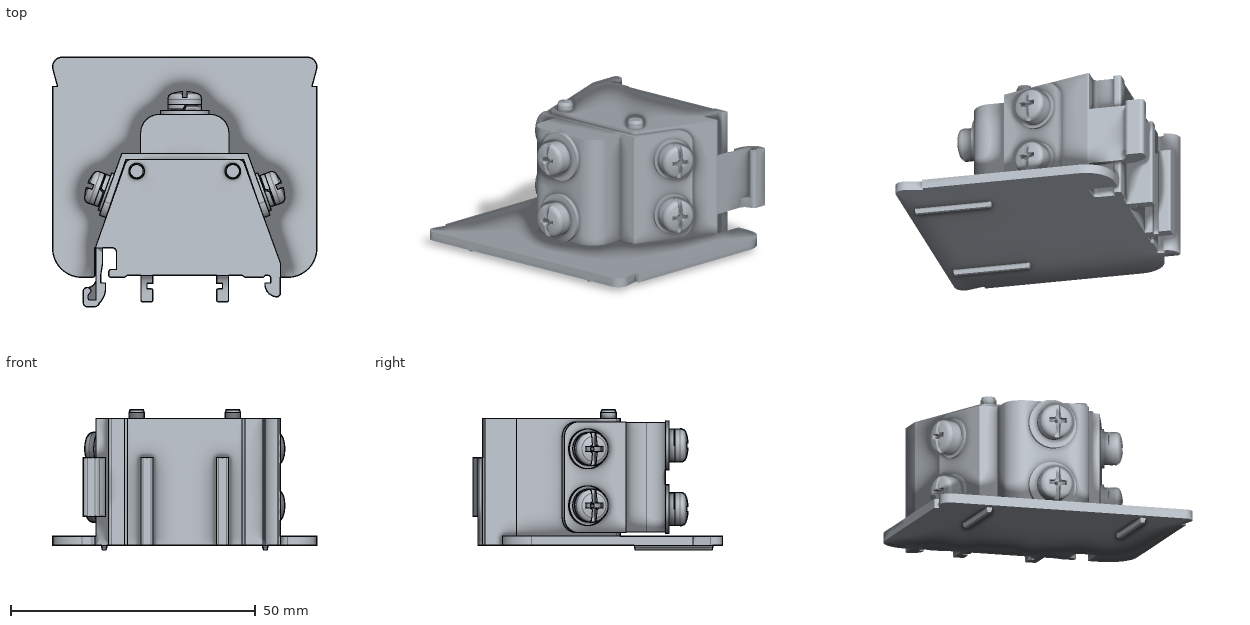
import cadquery as cq
import math


PLATE_WIDTH = 54.0
PLATE_DEPTH = 45.0
PLATE_THICKNESS = 1.9
FRONT_CORNER_R = 6.0
BACK_CORNER_R = 2.0
EAR_ANGLE = math.radians(15)
EAR_NOTCH_Y = 39.0
RUNNER_X = 16.45
RUNNER_WIDTH = 1.05
RUNNER_LENGTH = 16.0
RUNNER_BACK_Y = 43.0
RUNNER_HEIGHT = 1.0
RUNNER_TAPER = 0.15
RUNNER_TAPER_HEIGHT = 0.6

HOUSING_HEIGHT = 24.0
HOUSING_TOP = PLATE_THICKNESS + HOUSING_HEIGHT
HOUSING_MID_Z = PLATE_THICKNESS + HOUSING_HEIGHT / 2
HOUSING_BACK_Y = 24.1
SIDE_SLOPE = math.tan(math.radians(20))
HOUSING_RIGHT_X = 19.55
RIGHT_WALL_TOP_Y = 2.9
HOUSING_LEFT_X = -18.15
LEFT_WALL_TOP_Y = 6.35
HOUSING_BACK_CORNER_R = 1.2
NOTCH_BACK_Y = 6.05
NOTCH_RIGHT_X = -13.95
NOTCH_CORNER_R = 0.9
PLATE_NOTCH_GAP = 0.2
LIP_LEFT_X = -15.55
LIP_HEIGHT = 1.65
LIP_CORNER_R = 0.55
FRONT_RECESS_DEPTH = 0.4
RECESS_HALF_WIDTH = 11.7
RECESS_MOUTH_HALF_WIDTH = 12.3
LEG_BOTTOM_Y = -4.0
LEG_INNER_X = 17.55
LEG_CATCH_X = 16.35
LEG_CATCH_TOP_Y = -1.1
LEG_CATCH_R = 2.65
LEG_TOE_CHAMFER = 0.5

PIN_X = 9.82
PIN_Y = 21.7
PIN_DIAMETER = 3.2
PIN_HEIGHT = 1.8
PIN_TAPER = 0.25
PIN_TAPER_HEIGHT = 0.6

POST_TOP = 17.9
POST_OUTER_X = 8.95
POST_WIDTH = 2.45
POST_TIP_Y = -5.0
POST_GROOVE_DEPTH = 1.2
POST_GROOVE_Y = -2.3
POST_GROOVE_WIDTH = 1.1
POST_CORNER_R = 0.4
CLIP_HEIGHT = 12.0
CLIP_BOTTOM = POST_TOP - CLIP_HEIGHT
CLIP_TIP_Y = -6.0
CLIP_ROOT_THICKNESS = 1.4
CLIP_NECK_THICKNESS = 1.0
HOOK_WALL = 1.0
HOOK_LEFT_X = -20.75
HOOK_FLOOR_Y = -4.6
HOOK_TIP_R = 0.8
HOOK_TIP_Y = -2.85
HOOK_CORNER_R = 0.9
CATCH_RIGHT_X = -16.15
CATCH_R = 4.2
GUSSET_HEIGHT = 2.0

BRACKET_HEIGHT = 22.6
BRACKET_BACK_Y = 25.3
BRACKET_OUTER_X = 12.85
BRACKET_INNER_X = 12.02
BRACKET_LEG_LENGTH = 13.4
BRACKET_END_WIDTH = 1.4
BRACKET_CORNER_R = 3.0
BLOCK_WIDTH = 18.0
BLOCK_BACK_Y = 33.3
BLOCK_CORNER_R = 3.8
BLOCK_HEIGHT = 22.4

REAR_SCREW_PITCH = 13.0
REAR_WASHER_DIAMETER = 10.0
REAR_WASHER_THICKNESS = 0.8
SIDE_SCREW_PITCH = 11.6
SIDE_SCREW_Y = 17.35
SIDE_WASHER_DIAMETER = 8.1
SIDE_WASHER_THICKNESS = 0.6
SPRING_WASHER_DIAMETER = 6.75
SPRING_WASHER_THICKNESS = 1.2
SPRING_WASHER_GAP = 0.3
SPRING_WASHER_SLIT_ANGLE = -30
SPRING_WASHER_LIFT = 0.25
SPRING_WASHER_GAP_DEPTH = 0.8
SCREW_HEAD_DIAMETER = 6.8
SCREW_HEAD_HEIGHT = 2.7
HEAD_SIDE_HEIGHT = 1.0
CROWN_RADIUS = 2.6
CROWN_RISE = 0.45
DRIVE_WIDTH = 1.0
DRIVE_SLOT_DEPTH = 1.3
DRIVE_CROSS_LENGTH = 3.7
DRIVE_CROSS_DEPTH = 1.5
DRIVE_CONE_RADIUS = 1.0
DRIVE_CONE_DEPTH = 2.5

SIN45 = math.sin(math.radians(45))


def side_x(y):
    """X of the housing's sloping right wall at a given Y."""
    return HOUSING_RIGHT_X - (y - RIGHT_WALL_TOP_Y) * SIDE_SLOPE


def round_corner(body, x, y, radius):
    """Fillet the vertical edge that stands at (x, y)."""
    reach = 0.05
    near = cq.selectors.BoxSelector(
        (x - reach, y - reach, 0), (x + reach, y + reach, HOUSING_TOP)
    )
    return body.edges("|Z").edges(near).fillet(radius)


def make_plate():
    half = PLATE_WIDTH / 2
    arc_x = half - BACK_CORNER_R
    arc_y = PLATE_DEPTH - BACK_CORNER_R
    ear_x = arc_x + BACK_CORNER_R * math.cos(EAR_ANGLE)
    ear_y = arc_y - BACK_CORNER_R * math.sin(EAR_ANGLE)
    mid_angle = (math.radians(90) - EAR_ANGLE) / 2
    mid_x = arc_x + BACK_CORNER_R * math.cos(mid_angle)
    mid_y = arc_y + BACK_CORNER_R * math.sin(mid_angle)
    ear_root_x = ear_x - (ear_y - EAR_NOTCH_Y) * math.tan(EAR_ANGLE)
    notch_left = HOUSING_LEFT_X - PLATE_NOTCH_GAP
    notch_right = side_x(NOTCH_BACK_Y)

    plate = (
        cq.Workplane("XY")
        .moveTo(-half, 0)
        .lineTo(notch_left, 0)
        .lineTo(notch_left, NOTCH_BACK_Y)
        .lineTo(notch_right, NOTCH_BACK_Y)
        .lineTo(notch_right, 0)
        .lineTo(half, 0)
        .lineTo(half, EAR_NOTCH_Y)
        .lineTo(ear_root_x, EAR_NOTCH_Y)
        .lineTo(ear_x, ear_y)
        .threePointArc((mid_x, mid_y), (arc_x, PLATE_DEPTH))
        .lineTo(-arc_x, PLATE_DEPTH)
        .threePointArc((-mid_x, mid_y), (-ear_x, ear_y))
        .lineTo(-ear_root_x, EAR_NOTCH_Y)
        .lineTo(-half, EAR_NOTCH_Y)
        .close()
        .extrude(PLATE_THICKNESS)
    )
    for side in (-1, 1):
        plate = round_corner(plate, side * half, 0, FRONT_CORNER_R)
    plate = round_corner(plate, notch_left, 0, LIP_CORNER_R)

    runner_y = RUNNER_BACK_Y - RUNNER_LENGTH / 2
    for side in (-1, 1):
        runner = (
            cq.Workplane("XY")
            .box(RUNNER_WIDTH, RUNNER_LENGTH, RUNNER_HEIGHT, centered=(True, True, False))
            .faces("<Z").edges().chamfer(RUNNER_TAPER_HEIGHT, RUNNER_TAPER)
            .translate((side * RUNNER_X, runner_y, -RUNNER_HEIGHT))
        )
        plate = plate.union(runner)
    return plate


def make_housing_block():
    back_x = side_x(HOUSING_BACK_Y)
    catch_low_y = LEG_BOTTOM_Y + LEG_CATCH_R
    catch_tip_x = LEG_CATCH_X + LEG_CATCH_R
    catch_bulge = (
        catch_tip_x - LEG_CATCH_R * SIN45,
        catch_low_y - LEG_CATCH_R * SIN45,
    )
    pocket_y = FRONT_RECESS_DEPTH
    lip_right_x = 16.0

    block = (
        cq.Workplane("XY")
        .moveTo(-back_x, HOUSING_BACK_Y)
        .lineTo(HOUSING_LEFT_X, LEFT_WALL_TOP_Y)
        .lineTo(HOUSING_LEFT_X, NOTCH_BACK_Y)
        .lineTo(NOTCH_RIGHT_X, NOTCH_BACK_Y)
        .lineTo(NOTCH_RIGHT_X, LIP_HEIGHT)
        .lineTo(LIP_LEFT_X, LIP_HEIGHT)
        .lineTo(LIP_LEFT_X, 0)
        .lineTo(-RECESS_MOUTH_HALF_WIDTH, 0)
        .lineTo(-RECESS_HALF_WIDTH, FRONT_RECESS_DEPTH)
        .lineTo(RECESS_HALF_WIDTH, FRONT_RECESS_DEPTH)
        .lineTo(RECESS_MOUTH_HALF_WIDTH, 0)
        .lineTo(lip_right_x, 0)
        .lineTo(lip_right_x + pocket_y, pocket_y)
        .lineTo(LEG_INNER_X, pocket_y)
        .lineTo(LEG_INNER_X, LEG_CATCH_TOP_Y)
        .lineTo(LEG_CATCH_X, LEG_CATCH_TOP_Y)
        .lineTo(LEG_CATCH_X, catch_low_y)
        .threePointArc(catch_bulge, (catch_tip_x, LEG_BOTTOM_Y))
        .lineTo(HOUSING_RIGHT_X, LEG_BOTTOM_Y + LEG_TOE_CHAMFER)
        .lineTo(HOUSING_RIGHT_X, RIGHT_WALL_TOP_Y)
        .lineTo(back_x, HOUSING_BACK_Y)
        .close()
        .extrude(HOUSING_TOP)
    )
    for side in (-1, 1):
        block = round_corner(block, side * back_x, HOUSING_BACK_Y, HOUSING_BACK_CORNER_R)
    block = round_corner(block, NOTCH_RIGHT_X, NOTCH_BACK_Y, NOTCH_CORNER_R)
    for lip_y in (0, LIP_HEIGHT):
        block = round_corner(block, LIP_LEFT_X, lip_y, LIP_CORNER_R)
    block = round_corner(block, LEG_INNER_X, pocket_y, LIP_CORNER_R)
    return block


def make_pins():
    return (
        cq.Workplane("XY", origin=(0, 0, HOUSING_TOP))
        .pushPoints([(-PIN_X, PIN_Y), (PIN_X, PIN_Y)])
        .circle(PIN_DIAMETER / 2)
        .extrude(PIN_HEIGHT)
        .faces(">Z").edges().chamfer(PIN_TAPER_HEIGHT, PIN_TAPER)
    )


def make_post(side):
    """Grooved rail post; side is -1 for the left one and 1 for the right one."""
    length = FRONT_RECESS_DEPTH - POST_TIP_Y
    inner_x = POST_OUTER_X - POST_WIDTH
    post = cq.Workplane("XY").box(POST_WIDTH, length, POST_TOP, centered=False)
    post = post.translate((inner_x, POST_TIP_Y, 0))
    groove = cq.Workplane("XY").box(POST_GROOVE_DEPTH, POST_GROOVE_WIDTH, POST_TOP, centered=False)
    post = post.cut(groove.translate((inner_x, POST_GROOVE_Y, 0)))
    for x, y in ((inner_x, POST_TIP_Y), (POST_OUTER_X, POST_TIP_Y), (inner_x, POST_GROOVE_Y)):
        post = round_corner(post, x, y, POST_CORNER_R)
    return post if side > 0 else post.mirror("YZ")


def make_clip():
    left_x = HOUSING_LEFT_X
    pocket_x = HOOK_LEFT_X + HOOK_WALL
    tip_x = HOOK_LEFT_X + HOOK_TIP_R
    neck_x = left_x + CLIP_NECK_THICKNESS
    root_x = left_x + CLIP_ROOT_THICKNESS
    taper_top_y = 2.9
    taper_bottom_y = 0.4
    catch_top_y = -1.1
    catch_low_y = -2.2
    heel_x = -18.3
    heel_bulge = (-17.8, -5.75)
    heel_end = (-17.4, -5.2)

    clip = (
        cq.Workplane("XY", origin=(0, 0, CLIP_BOTTOM))
        .moveTo(left_x, NOTCH_BACK_Y)
        .lineTo(left_x, HOOK_FLOOR_Y)
        .lineTo(pocket_x, HOOK_FLOOR_Y)
        .lineTo(pocket_x, HOOK_TIP_Y - HOOK_TIP_R)
        .lineTo(tip_x + HOOK_TIP_R, HOOK_TIP_Y)
        .threePointArc((tip_x, HOOK_TIP_Y + HOOK_TIP_R), (HOOK_LEFT_X, HOOK_TIP_Y))
        .lineTo(HOOK_LEFT_X, CLIP_TIP_Y)
        .lineTo(heel_x, CLIP_TIP_Y)
        .threePointArc(heel_bulge, heel_end)
        .radiusArc((CATCH_RIGHT_X, catch_low_y), -CATCH_R)
        .lineTo(CATCH_RIGHT_X, catch_top_y)
        .lineTo(neck_x, catch_top_y)
        .lineTo(neck_x, taper_bottom_y)
        .lineTo(root_x, taper_top_y)
        .lineTo(root_x, NOTCH_BACK_Y)
        .close()
        .extrude(CLIP_HEIGHT)
    )
    clip = round_corner(clip, HOOK_LEFT_X, CLIP_TIP_Y, HOOK_CORNER_R)
    clip = round_corner(clip, pocket_x, HOOK_FLOOR_Y, POST_CORNER_R)

    gusset_top_y = -0.8
    gusset_hollow = (-18.6, -1.5)
    gusset = (
        cq.Workplane("XY", origin=(0, 0, CLIP_BOTTOM))
        .moveTo(left_x, gusset_top_y)
        .threePointArc(gusset_hollow, (tip_x, HOOK_TIP_Y + HOOK_TIP_R))
        .lineTo(tip_x, HOOK_FLOOR_Y)
        .lineTo(left_x, HOOK_FLOOR_Y)
        .close()
        .extrude(GUSSET_HEIGHT)
    )
    return clip.union(gusset)


def make_bracket():
    bottom_z = HOUSING_MID_Z - BRACKET_HEIGHT / 2
    sin_slope = math.sin(math.atan(SIDE_SLOPE))
    cos_slope = math.cos(math.atan(SIDE_SLOPE))
    end_x = BRACKET_OUTER_X + BRACKET_LEG_LENGTH * sin_slope
    end_y = BRACKET_BACK_Y - BRACKET_LEG_LENGTH * cos_slope
    end_inner_x = end_x - BRACKET_END_WIDTH * cos_slope
    end_inner_y = end_y - BRACKET_END_WIDTH * sin_slope

    right_half = [
        (BRACKET_OUTER_X, BRACKET_BACK_Y),
        (end_x, end_y),
        (end_inner_x, end_inner_y),
        (BRACKET_INNER_X, HOUSING_BACK_Y),
    ]
    left_half = [(-x, y) for x, y in reversed(right_half)]
    bracket = (
        cq.Workplane("XY", origin=(0, 0, bottom_z))
        .polyline(right_half + left_half)
        .close()
        .extrude(BRACKET_HEIGHT)
    )
    end_corners = cq.selectors.BoxSelector(
        (-end_x, end_inner_y, 0), (end_x, end_y, HOUSING_TOP)
    )
    return bracket.edges("#Z").edges(end_corners).fillet(BRACKET_CORNER_R)


def make_rear_block():
    depth = BLOCK_BACK_Y - BRACKET_BACK_Y
    return (
        cq.Workplane("XY")
        .box(BLOCK_WIDTH, depth, BLOCK_HEIGHT)
        .edges("|Z and >Y").fillet(BLOCK_CORNER_R)
        .translate((0, BRACKET_BACK_Y + depth / 2, HOUSING_MID_Z))
    )


def make_screw(washer_diameter, washer_thickness):
    """Screw with its washers, seated at the origin and pointing up along Z; slot along X."""
    spring_z = washer_thickness
    head_z = spring_z + SPRING_WASHER_THICKNESS
    top_z = head_z + SCREW_HEAD_HEIGHT
    side_top_z = head_z + HEAD_SIDE_HEIGHT
    crown_z = top_z - CROWN_RISE
    head_r = SCREW_HEAD_DIAMETER / 2
    shoulder = (
        CROWN_RADIUS + (head_r - CROWN_RADIUS) * SIN45,
        side_top_z + (crown_z - side_top_z) * SIN45,
    )
    crown_mid = (CROWN_RADIUS / 2, top_z - CROWN_RISE / 4)

    head = (
        cq.Workplane("XZ")
        .moveTo(0, head_z)
        .lineTo(head_r, head_z)
        .lineTo(head_r, side_top_z)
        .threePointArc(shoulder, (CROWN_RADIUS, crown_z))
        .threePointArc(crown_mid, (0, top_z))
        .close()
        .revolve(360, (0, 0, 0), (0, 1, 0))
    )
    slot = cq.Workplane("XY").box(SCREW_HEAD_DIAMETER, DRIVE_WIDTH, 2 * DRIVE_SLOT_DEPTH)
    cross = cq.Workplane("XY").box(DRIVE_WIDTH, DRIVE_CROSS_LENGTH, 2 * DRIVE_CROSS_DEPTH)
    cone_point = (
        cq.Workplane("XZ")
        .polyline([(0, 0), (DRIVE_CONE_RADIUS, 0), (0, -DRIVE_CONE_DEPTH)])
        .close()
        .revolve(360, (0, 0, 0), (0, 1, 0))
    )
    drive = slot.union(cross).union(cone_point).translate((0, 0, top_z))
    head = head.cut(drive)

    spring_r = SPRING_WASHER_DIAMETER / 2
    spring_washer = (
        cq.Workplane("XY", origin=(0, 0, spring_z))
        .circle(spring_r)
        .extrude(SPRING_WASHER_THICKNESS)
    )
    slit_depth = spring_r / 3
    slit = (
        cq.Workplane("XY")
        .box(slit_depth, SPRING_WASHER_GAP, 2 * SPRING_WASHER_THICKNESS)
        .rotate((0, 0, 0), (1, 0, 0), SPRING_WASHER_SLIT_ANGLE)
        .translate((spring_r - slit_depth / 2, 0, spring_z + SPRING_WASHER_THICKNESS / 2))
    )
    spring_washer = spring_washer.cut(slit)

    lift_ring = (
        cq.Workplane("XY")
        .circle(spring_r)
        .circle(spring_r - SPRING_WASHER_GAP_DEPTH)
        .extrude(SPRING_WASHER_LIFT)
    )
    quarter = cq.Workplane("XY").box(spring_r, spring_r, SPRING_WASHER_LIFT, centered=False)
    upper_gap = lift_ring.intersect(quarter).translate((0, 0, head_z - SPRING_WASHER_LIFT))
    lower_gap = lift_ring.intersect(quarter.mirror("XZ")).translate((0, 0, spring_z))
    spring_washer = spring_washer.cut(upper_gap).cut(lower_gap)

    flat_washer = cq.Workplane("XY").circle(washer_diameter / 2).extrude(washer_thickness)
    return flat_washer.union(spring_washer).union(head)


def place_screw(screw, x, y, z, heading):
    """Turn a screw so it points along a heading (degrees from +X) with its slot along Z."""
    return (
        screw.rotate((0, 0, 0), (0, 1, 0), -90)
        .rotate((0, 0, 0), (0, 0, 1), heading + 180)
        .translate((x, y, z))
    )


def make_rear_screws():
    screw = make_screw(REAR_WASHER_DIAMETER, REAR_WASHER_THICKNESS)
    screws = []
    for level in (-0.5, 0.5):
        z = HOUSING_MID_Z + level * REAR_SCREW_PITCH
        screws.append(place_screw(screw, 0, BLOCK_BACK_Y, z, 90))
    return screws


def make_side_screws():
    screw = make_screw(SIDE_WASHER_DIAMETER, SIDE_WASHER_THICKNESS)
    seat_x = BRACKET_OUTER_X + (BRACKET_BACK_Y - SIDE_SCREW_Y) * SIDE_SLOPE
    right_heading = math.degrees(math.atan(SIDE_SLOPE))
    screws = []
    for x, heading in ((-seat_x, 180 - right_heading), (seat_x, right_heading)):
        for level in (-0.5, 0.5):
            z = HOUSING_MID_Z + level * SIDE_SCREW_PITCH
            screws.append(place_screw(screw, x, SIDE_SCREW_Y, z, heading))
    return screws


terminal_base = make_plate().union(make_housing_block()).union(make_pins())
for post_side in (-1, 1):
    terminal_base = terminal_base.union(make_post(post_side))
terminal_base = terminal_base.union(make_clip())
terminal_base = terminal_base.union(make_bracket().union(make_rear_block()))

rear_screws = make_rear_screws()
side_screws = make_side_screws()

result = cq.Compound.makeCompound(
    [body.solids().val() for body in [terminal_base] + rear_screws + side_screws]
)